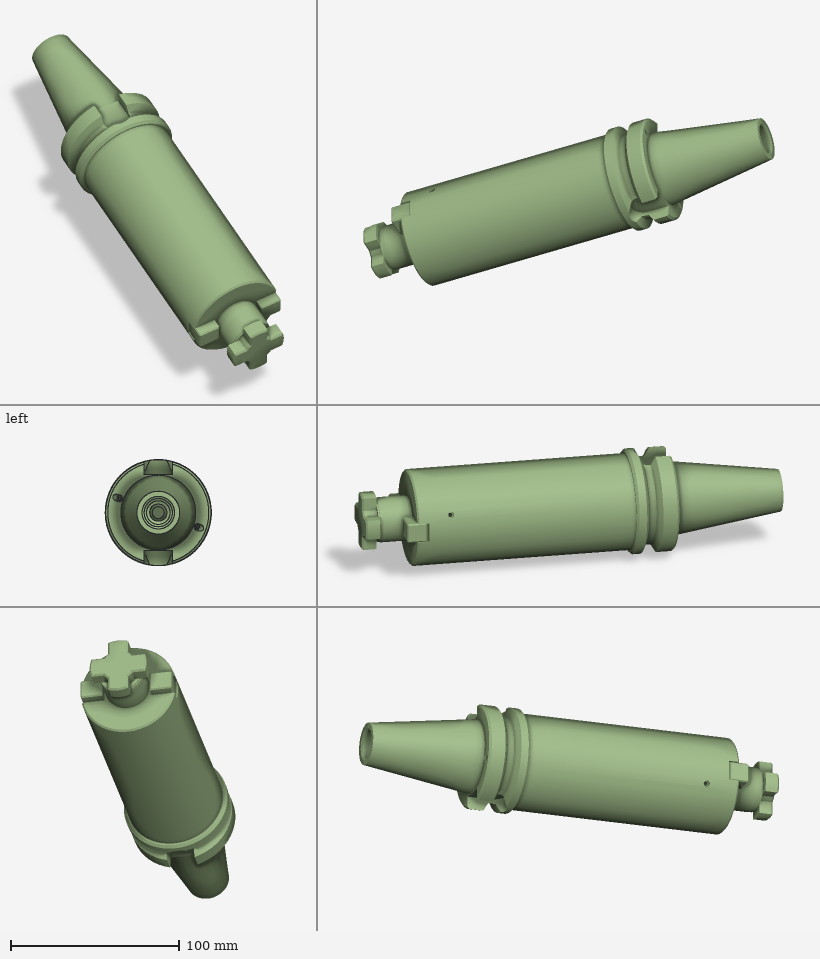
import cadquery as cq
import math

total_length = 254.5
half_turn_pair = (0, 180)

taper_end_x = 66.1
taper_small_radius = 12.7
taper_large_radius = 44.5 / 2
flange_face_x = 67.0
flange_end_x = 92.9
flange_front_radius = 31.3
flange_radius = 31.5
flange_front_chamfer = 1.3
flange_rear_chamfer = 1.5

groove_left_rim_x = 76.8
groove_start_x = 80.0
groove_end_x = 84.0
groove_right_rim_x = 86.8
groove_radius = 26.5

body_end_x = 225.5
body_radius = 57.7 / 2
body_chamfer = 1.0
pilot_end_x = 244.7
pilot_radius = 13.5
pilot_lead_length = 2.5
pilot_lead_drop = 0.3
relief_length = 1.5
relief_depth = 0.5

mouth_radius = 9.7
mouth_depth = 1.0
counterbore_radius = 8.5
counterbore_depth = 7.6
counterbore_cone_length = 1.3
thread_radius = 14.0 / 2
thread_depth = 33.0
thread_cone_length = 1.3
coolant_radius = 5.0

keyway_width = 16.8
keyway_floor = 45.0 / 2
keyway_end_x = 88.3

port_angle = 20.0
port_tilt = math.radians(45.0)
port_distance = 25.7
port_radius = 2.0
grub_screw_recess = 1.8
grub_screw_length = 5.0
socket_size = 2.3
socket_depth = 2.5

outlet_x = 205.0
outlet_radius = 1.9
outlet_depth = 2.0
outlet_drill_radius = 1.3

key_start_x = 218.5
key_end_x = 231.5
key_width = 11.7
key_inner = 14.2
key_outer = 55.2 / 2
key_chamfer = 0.8
key_rear_chamfer = 1.8

head_start_x = 245.8
head_radius = 17.3
head_chamfer = 1.0
core_radius = 10.5
lobe_width = 12.0
lobe_count = 4
collar_radius = 12.7
shank_start_x = 213.7
shank_radius = 6.0
tip_radius = 3.5
tip_length = 2.0


def cylinder_x(radius, start, end):
    """Solid cylinder on the X axis between two stations."""
    return cq.Workplane("YZ", origin=(start, 0, 0)).circle(radius).extrude(end - start)


def revolve_x(points):
    """Solid of revolution about the X axis from (x, radius) points."""
    return cq.Workplane("XY").polyline(points).close().revolve(360, (0, 0, 0), (1, 0, 0))


def box_between(x_range, y_range, z_range):
    """Box given by its limits on each axis."""
    size = [high - low for low, high in (x_range, y_range, z_range)]
    corner = (x_range[0], y_range[0], z_range[0])
    return cq.Workplane("XY").box(*size, centered=False).translate(corner)


def centred(width):
    return (-width / 2, width / 2)


def turned(shape, angle):
    """The shape turned about the tool axis."""
    return shape.rotate((0, 0, 0), (1, 0, 0), angle)


def make_housing_blank():
    relief_end_x = body_end_x + relief_length
    return revolve_x([
        (0, 0),
        (0, taper_small_radius),
        (taper_end_x, taper_large_radius),
        (flange_face_x, taper_large_radius),
        (flange_face_x, flange_front_radius - flange_front_chamfer),
        (flange_face_x + flange_front_chamfer, flange_front_radius),
        (groove_left_rim_x, flange_front_radius),
        (groove_start_x, groove_radius),
        (groove_end_x, groove_radius),
        (groove_right_rim_x, flange_radius),
        (flange_end_x - flange_rear_chamfer, flange_radius),
        (flange_end_x, flange_radius - flange_rear_chamfer),
        (flange_end_x, body_radius),
        (body_end_x - body_chamfer, body_radius),
        (body_end_x, body_radius - body_chamfer),
        (body_end_x, pilot_radius - relief_depth),
        (relief_end_x, pilot_radius - relief_depth),
        (relief_end_x, pilot_radius),
        (pilot_end_x - pilot_lead_length, pilot_radius),
        (pilot_end_x, pilot_radius - pilot_lead_drop),
        (pilot_end_x, 0),
    ])


def make_bore():
    """The axial bore, ending in the hole for the lock screw's shank."""
    return revolve_x([
        (0, 0),
        (0, mouth_radius),
        (mouth_depth, counterbore_radius),
        (counterbore_depth, counterbore_radius),
        (counterbore_depth + counterbore_cone_length, thread_radius),
        (thread_depth, thread_radius),
        (thread_depth + thread_cone_length, coolant_radius),
        (shank_start_x, coolant_radius),
        (shank_start_x, shank_radius),
        (pilot_end_x, shank_radius),
        (pilot_end_x, 0),
    ])


def make_keyway():
    """Slot from the flange face with a flat floor and a round end, at +Z."""
    end_centre_x = keyway_end_x - keyway_width / 2
    height_range = (keyway_floor, flange_radius)
    slot = box_between((flange_face_x, end_centre_x), centred(keyway_width), height_range)
    round_end = (
        cq.Workplane("XY", origin=(end_centre_x, 0, keyway_floor))
        .circle(keyway_width / 2)
        .extrude(flange_radius - keyway_floor)
    )
    return slot.union(round_end)


def port_plane(depth):
    """Plane across the port's axis, at a distance along that axis behind the flange face."""
    along = math.cos(port_tilt)
    inward = math.sin(port_tilt)
    return cq.Plane(
        origin=(flange_face_x + depth * along, port_distance - depth * inward, 0),
        xDir=(0, 0, 1),
        normal=(along, -inward, 0),
    )


def make_port():
    """Sloping hole from in front of the flange face to the tool axis."""
    lead_in = 2 * port_radius
    length = lead_in + port_distance / math.sin(port_tilt)
    return cq.Workplane(port_plane(-lead_in)).circle(port_radius).extrude(length)


def make_grub_screw():
    """Screw inside the port, with a hexagonal socket."""
    end_plane = port_plane(grub_screw_recess)
    screw = cq.Workplane(end_plane).circle(port_radius).extrude(grub_screw_length)
    socket = cq.Workplane(end_plane).polygon(6, socket_size).extrude(socket_depth)
    return screw.cut(socket)


def make_outlet():
    """Radial hole from the body's surface to the bore, wider near the surface."""
    surface = cq.Workplane("XZ", origin=(outlet_x, body_radius, 0))
    wide_part = surface.circle(outlet_radius).extrude(outlet_depth)
    drill = surface.circle(outlet_drill_radius).extrude(body_radius)
    return wide_part.union(drill)


def make_key_slot():
    return box_between((key_start_x, body_end_x), (key_inner, body_radius), centred(key_width))


def make_key():
    key = box_between((key_start_x, key_end_x), (key_inner, key_outer), centred(key_width))
    key = key.faces("<X").edges(">Y").chamfer(key_rear_chamfer)
    return key.faces(">X or >Y").edges("not <X").chamfer(key_chamfer)


def make_housing():
    housing = make_housing_blank().cut(make_bore())
    for angle in half_turn_pair:
        housing = housing.cut(turned(make_keyway(), angle))
        housing = housing.cut(turned(make_key_slot(), angle))
        housing = housing.cut(turned(make_port(), angle + port_angle))
        housing = housing.cut(turned(make_outlet(), angle + port_angle))
    return housing


def make_head():
    """Cross of four lobes around a round core, with its front edges chamfered."""
    cross = cylinder_x(core_radius, head_start_x, total_length)
    lobe = box_between((head_start_x, total_length), (0, 2 * head_radius), centred(lobe_width))
    for index in range(lobe_count):
        cross = cross.union(turned(lobe, index * 360 / lobe_count))
    head = cross.intersect(cylinder_x(head_radius, head_start_x, total_length))
    return head.faces(">X").chamfer(head_chamfer)


def make_lock_screw():
    collar_and_shank = revolve_x([
        (shank_start_x, 0),
        (shank_start_x, tip_radius),
        (shank_start_x + tip_length, shank_radius),
        (pilot_end_x, shank_radius),
        (pilot_end_x, collar_radius),
        (head_start_x, collar_radius),
        (head_start_x, 0),
    ])
    return make_head().union(collar_and_shank)


housing = make_housing()
lock_screw = make_lock_screw()
drive_keys = [turned(make_key(), angle) for angle in half_turn_pair]
grub_screws = [turned(make_grub_screw(), angle + port_angle) for angle in half_turn_pair]

result = cq.Compound.makeCompound([
    housing.val(),
    lock_screw.val(),
    *[key.val() for key in drive_keys],
    *[screw.val() for screw in grub_screws],
])